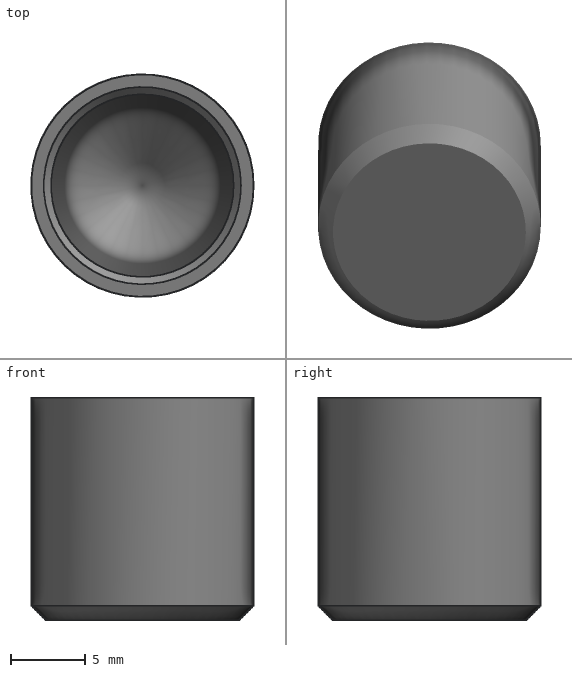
import cadquery as cq
import math

height = 15.0
outer_radius = 7.5
bottom_chamfer = 1.0

bore_radius = 6.15
mouth_chamfer = 0.5
point_angle = 118.0
tip_floor = 1.5

cone_depth = bore_radius / math.tan(math.radians(point_angle / 2))
cone_top = tip_floor + cone_depth
mouth_radius = bore_radius + mouth_chamfer

half_section = (
    cq.Workplane("XZ")
    .moveTo(0, 0)
    .lineTo(outer_radius - bottom_chamfer, 0)
    .lineTo(outer_radius, bottom_chamfer)
    .lineTo(outer_radius, height)
    .lineTo(mouth_radius, height)
    .lineTo(bore_radius, height - mouth_chamfer)
    .lineTo(bore_radius, cone_top)
    .lineTo(0, tip_floor)
    .close()
)

result = half_section.revolve(360, (0, 0, 0), (0, 1, 0))